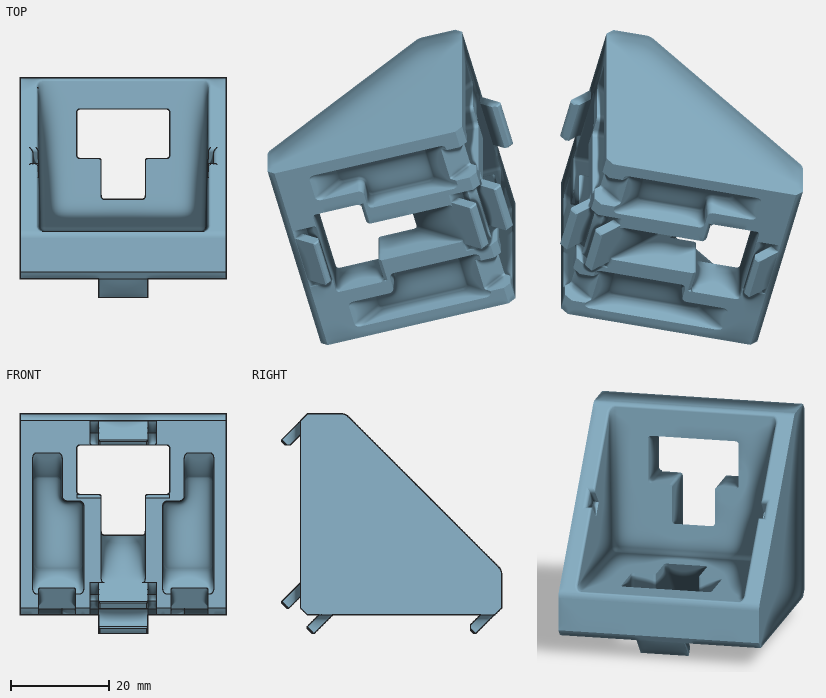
import cadquery as cq
import math


width = 42.0
overall = 44.9
hook_reach = 3.8
leg = overall - hook_reach
edge_chamfer = 1.45
leg_end = 9.15
slope_sum = leg + leg_end
slope_round = 2.0
wall = 9.7

pocket_half = 17.4
pocket_draft = 1.7
pocket_round = 1.0
rim_round = 0.55

latch_half = 19.25
latch_length = 5.1
latch_depth = 4.5
latch_round = 0.8

tee_top = 34.65
tee_ledge = 24.6
tee_half = 9.45
stem_half = 4.5
tee_head_round = 0.67
tee_stem_round = 0.55
tee_reach = 13.45
ledge_chamfer = 0.7

hook_heights = (6.6, 39.55)
hook_half = 5.05
hook_thickness = 2.0
hook_tip_bevel = 0.25
groove_half = 6.82
groove_depth = 2.45
upper_groove_round = 0.55
corner_relief_sum = 4.1

side_outer = 18.5
side_upper_inner = 12.45
side_lower_inner = 8.05
side_bottom = 4.25
side_step = 23.25
side_top = 33.1
side_depth = 5.05
side_step_round = 1.05
side_ramp_round = 0.9
side_floor_round = 0.45
side_draft = 3.0

notch_outer = 17.25
notch_inner = 9.8
notch_sum = 6.8
notch_round = 0.4

margin = 9.0
touch = 0.05


def prism(points, x_start, x_end):
    """Solid with a (Y, Z) outline, running along X."""
    return cq.Workplane("YZ", origin=(x_start, 0, 0)).polyline(points).close().extrude(x_end - x_start)


def both_walls(feature):
    """Add the twin of a front-wall feature on the base wall."""
    return feature.union(feature.mirror(cq.Vector(0, 1, -1)))


def both_sides(feature):
    return feature.union(feature.mirror("YZ"))


def make_body():
    outline = [
        (edge_chamfer, 0),
        (leg - edge_chamfer, 0),
        (leg, edge_chamfer),
        (leg, leg_end),
        (leg_end, leg),
        (edge_chamfer, leg),
        (0, leg - edge_chamfer),
        (0, edge_chamfer),
    ]
    body = prism(outline, -width / 2, width / 2)
    slope_ends = body.faces(">(0, 1, 1)").edges("|X")
    return slope_ends.fillet(slope_round)


def onto_slope(shape):
    """Move a shape built about the XY plane so that this plane becomes the sloping face."""
    turned = shape.rotate((0, 0, 0), (1, 0, 0), -45)
    return turned.translate((0, slope_sum / 2, slope_sum / 2))


def make_main_pocket():
    """Triangular space between the walls, its cheek sides drafted inwards from the sloping face."""
    far = slope_sum + margin
    corner = prism([(wall, wall), (far, wall), (wall, far)], -width, width)
    widening = margin * math.tan(math.radians(pocket_draft))
    drafted = (
        cq.Workplane("XY", origin=(0, 0, margin))
        .rect(2 * (pocket_half + widening), 4 * leg)
        .extrude(-leg - margin, taper=pocket_draft)
    )
    pocket = corner.intersect(onto_slope(drafted))
    on_front_wall = cq.selectors.BoxSelector((-width, wall - touch, 0), (width, wall + touch, far))
    on_base_wall = cq.selectors.BoxSelector((-width, 0, wall - touch), (width, far, wall + touch))
    return pocket.edges(on_front_wall + on_base_wall).fillet(pocket_round)


def make_latch_recesses():
    """One bar across the pocket cuts both recesses; its flared top rounds their mouths."""
    mouth = cq.Workplane("XY").rect(width, 2 * latch_length).extrude(latch_round)
    bar = (
        cq.Workplane("XY")
        .rect(2 * (latch_half - latch_round), latch_length - 2 * latch_round)
        .extrude(-latch_depth)
    )
    junction = cq.selectors.BoxSelector(
        (-latch_half, -latch_length / 2, -touch), (latch_half, latch_length / 2, touch)
    )
    cutter = mouth.union(bar).edges(junction).fillet(latch_round)
    return onto_slope(cutter)


def round_pocket_rim(body):
    """Round the two long edges where the pocket's cheek sides meet the sloping face."""
    middle = slope_sum / 2
    on_cheeks = cq.selectors.BoxSelector(
        (-latch_half, middle - margin, middle - margin), (latch_half, middle + margin, middle + margin)
    )
    return body.faces(">(0, 1, 1)").edges(on_cheeks).fillet(rim_round)


def make_tee_opening():
    """Opening through the front wall; its stem floor rises inwards at 45 degrees from the lower hook."""
    head = (
        cq.Workplane("XZ", origin=(0, 0, (tee_top + tee_ledge) / 2))
        .rect(2 * tee_half, tee_top - tee_ledge)
        .extrude(tee_reach, both=True)
        .edges("|Y")
        .fillet(tee_head_round)
    )
    stem_floor = hook_heights[0]
    stem_top = (tee_top + tee_ledge) / 2
    stem_outline = [
        (-hook_reach, stem_top),
        (-hook_reach, stem_floor - hook_reach),
        (tee_reach, stem_floor + tee_reach),
        (tee_reach, stem_top),
    ]
    stem = prism(stem_outline, -stem_half, stem_half).edges("|(0, 1, 1)").fillet(tee_stem_round)
    near_ledges = cq.selectors.BoxSelector(
        (-stem_half - touch, -tee_reach, tee_ledge - touch), (stem_half + touch, tee_reach, tee_ledge + touch)
    )
    return head.union(stem).edges("|Y").edges(near_ledges).fillet(tee_stem_round)


def make_ledge_chamfer():
    """Bevel on the front edge of the two ledges of the T."""
    outline = [
        (0, tee_ledge - ledge_chamfer),
        (ledge_chamfer, tee_ledge),
        (0, tee_ledge),
    ]
    return prism(outline, -tee_half, tee_half)


def make_groove(height):
    """V groove of the front wall, its upper edge at the given height."""
    outline = [
        (-margin, height + margin),
        (groove_depth, height - groove_depth),
        (-margin, height - 2 * groove_depth - margin),
    ]
    return prism(outline, -groove_half, groove_half)


def make_hook(height):
    """Flat hook sloping down and out at 45 degrees from the given height on the wall face."""
    drop = hook_thickness * math.sqrt(2)
    reach = hook_reach + hook_tip_bevel / math.sqrt(2)
    tip = (-reach, height - reach)
    root = (0, height)
    outline = [
        tip,
        (tip[0] + drop / 2, tip[1] - drop / 2),
        (root[0] + drop / 2, root[1] - drop / 2),
        root,
    ]
    hook = prism(outline, -hook_half, hook_half)
    return hook.faces("<(0, 1, 1)").edges().chamfer(hook_tip_bevel)


def make_side_pocket():
    """Stepped, drafted pocket of the front wall with 45 degree ramps at its top and bottom."""
    outline = [
        (side_lower_inner, side_bottom),
        (side_outer, side_bottom),
        (side_outer, side_top),
        (side_upper_inner, side_top),
        (side_upper_inner, side_step),
        (side_lower_inner, side_step),
        (side_lower_inner, side_bottom),
    ]
    step_corners = cq.selectors.BoxSelector(
        (0, side_step - touch, -touch), (side_outer, side_step + touch, touch)
    )
    profile = cq.Sketch().polygon(outline).vertices(step_corners).fillet(side_step_round)
    column = cq.Workplane("XZ").placeSketch(profile).extrude(-side_depth, taper=side_draft)
    ramp_outline = [
        (0, side_bottom),
        (side_depth, side_bottom + side_depth),
        (side_depth, side_top - side_depth),
        (0, side_top),
    ]
    pocket = column.intersect(prism(ramp_outline, 0, side_outer))
    ramp_sides = pocket.faces(">Z or <Z").edges("not |X")
    pocket = ramp_sides.fillet(side_ramp_round)
    return pocket.faces(">Y").edges().fillet(side_floor_round)


def make_notch():
    """Cut across the corner between both walls, with a 45 degree floor."""
    outline = [
        (-margin, -margin),
        (notch_sum + margin, -margin),
        (-margin, notch_sum + margin),
    ]
    notch = prism(outline, notch_inner, notch_outer)
    return notch.faces(">(0, 1, 1)").edges("|(0, 1, -1)").fillet(notch_round)


def make_corner_relief():
    """Flat cut across the corner between the two lower grooves."""
    outline = [
        (-margin, -margin),
        (corner_relief_sum + margin, -margin),
        (-margin, corner_relief_sum + margin),
    ]
    return prism(outline, -groove_half, groove_half)


lower_groove, upper_groove = [make_groove(height) for height in hook_heights]
upper_groove = upper_groove.edges("|(0, 1, 1)").fillet(upper_groove_round)

body = make_body().cut(make_main_pocket())
body = round_pocket_rim(body)
body = body.cut(make_latch_recesses())
body = body.cut(make_corner_relief())
for groove in (lower_groove, upper_groove):
    body = body.cut(both_walls(groove))
for height in hook_heights:
    body = body.union(both_walls(make_hook(height)))

body = body.cut(both_walls(make_tee_opening()))
body = body.cut(both_walls(make_ledge_chamfer()))
body = body.cut(both_walls(both_sides(make_side_pocket())))
body = body.cut(both_sides(make_notch()))

result = body